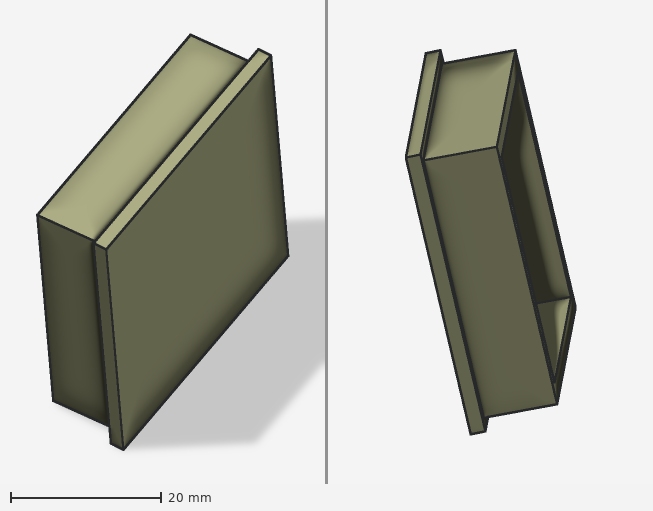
import cadquery as cq
import math

tilt = 3.9
plate_height = 40.05
plate_width = 40.0
plate_thickness = 2.0
frame_size = 37.2
frame_depth = 10.0
pocket_width = 32.6
pocket_height = 32.9
pocket_rise = 0.1

half_height = plate_height / 2
half_lean = half_height * math.tan(math.radians(tilt))
level_thickness = plate_thickness / math.cos(math.radians(tilt))
plate = (
    cq.Workplane("XZ")
    .polyline([
        (-half_lean, half_height),
        (level_thickness - half_lean, half_height),
        (level_thickness + half_lean, -half_height),
        (half_lean, -half_height),
    ])
    .close()
    .extrude(plate_width / 2, both=True)
)


def block_on_plate(width, height, rise):
    """Block projecting square from the plate toward -X, before leaning."""
    return (
        cq.Workplane("XY")
        .box(frame_depth, width, height)
        .translate((-frame_depth / 2, 0, rise))
    )


frame = block_on_plate(frame_size, frame_size, 0)
pocket = block_on_plate(pocket_width, pocket_height, pocket_rise)
leaning_frame = frame.cut(pocket).rotate((0, 0, 0), (0, 1, 0), -tilt)

result = plate.union(leaning_frame)